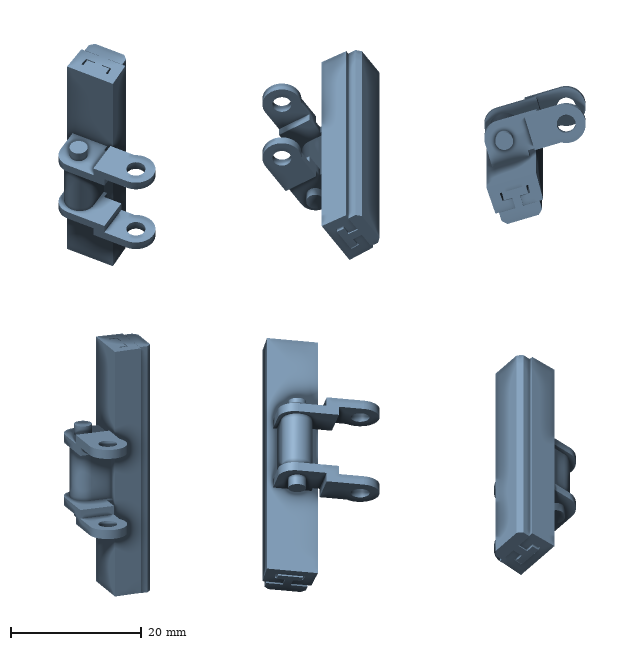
import cadquery as cq

LENGTH = 39.8

RAIL_FRONT_WIDTH = 7.95
RAIL_BACK_WIDTH = 7.65
RAIL_DEPTH = 4.35
RAIL_BOTTOM = 0.25
SLOT_FLOOR = 1.47
SLOT_FLOOR_WIDTH = 4.58
SLOT_LIP = 2.83
SLOT_LIP_WIDTH = 4.38

NECK_WIDTH = 1.25
FOOT_WIDTH = 3.85
FOOT_BACK = 2.65
HEAD_WIDTH = 6.5
HEAD_FRONT = 4.38
HEAD_BACK = 6.35
HEAD_CHAMFER = 0.7

BRACKET_MIDDLE = 20.0
PLATE_THICKNESS = 1.4
ARM_THICKNESS = 1.45
PLATE_GAP = 8.75
PLATE_LEFT = -3.02
PLATE_RIGHT = 3.0
BRACKET_FRONT = -6.5
PLATE_CORNER_RADIUS = 2.6
ARM_BACK = -0.95
ARM_START = 4.05
PLATE_END = 5.97
EYE_X = 9.87
EYE_RADIUS = 3.0
EYE_HOLE_DIAMETER = 2.9

PIN_Y = -3.7
PIN_DIAMETER = 2.75
PIN_LENGTH = 14.8
BARREL_DIAMETER = 4.8
BARREL_HEEL_Y = -3.3

EYE_Y = BRACKET_FRONT + EYE_RADIUS
RAIL_LENGTH = LENGTH - RAIL_BOTTOM


def symmetric_profile(right_points, bottom, height):
    """Extrude an outline given by its right half, mirrored about X = 0."""
    left_points = [(-x, y) for x, y in reversed(right_points)]
    outline = cq.Workplane("XY").workplane(offset=bottom).polyline(right_points + left_points)
    return outline.close().extrude(height)


def block(x_min, x_max, y_min, y_max, bottom, height):
    """Make a box from its X and Y limits, its bottom and its height."""
    size = (x_max - x_min, y_max - y_min, height)
    return cq.Workplane("XY").box(*size, centered=False).translate((x_min, y_min, bottom))


def cylinder(x, y, diameter, bottom, height):
    """Make a vertical cylinder."""
    return cq.Workplane("XY").workplane(offset=bottom).center(x, y).circle(diameter / 2).extrude(height)


def make_rail_profile():
    """Make the drafted rail with its T-slot."""
    points = [
        (RAIL_FRONT_WIDTH / 2, 0),
        (RAIL_BACK_WIDTH / 2, RAIL_DEPTH),
        (NECK_WIDTH / 2, RAIL_DEPTH),
        (NECK_WIDTH / 2, SLOT_LIP),
        (SLOT_LIP_WIDTH / 2, SLOT_LIP),
        (SLOT_FLOOR_WIDTH / 2, SLOT_FLOOR),
    ]
    return symmetric_profile(points, RAIL_BOTTOM, RAIL_LENGTH)


def make_upper_bracket():
    """Make the upper bracket: a plate on the rail, stepped up to an arm that ends in an eye."""
    plate_bottom = BRACKET_MIDDLE + PLATE_GAP / 2
    arm_bottom = plate_bottom + PLATE_THICKNESS

    plate = block(PLATE_LEFT, PLATE_RIGHT, BRACKET_FRONT, 0, plate_bottom, PLATE_THICKNESS)
    plate_end = block(0, PLATE_END, BRACKET_FRONT, ARM_BACK, plate_bottom, PLATE_THICKNESS)
    plate = plate.union(plate_end).edges("|Z and <X and <Y").fillet(PLATE_CORNER_RADIUS)

    arm = block(ARM_START, EYE_X, BRACKET_FRONT, ARM_BACK, arm_bottom, ARM_THICKNESS)
    eye = cylinder(EYE_X, EYE_Y, 2 * EYE_RADIUS, arm_bottom, ARM_THICKNESS)
    eye_hole = cylinder(EYE_X, EYE_Y, EYE_HOLE_DIAMETER, arm_bottom, ARM_THICKNESS)
    return plate.union(arm).union(eye).cut(eye_hole)


def make_hinge():
    """Make the barrel, the web that joins it to the rail, and the pin."""
    barrel_bottom = BRACKET_MIDDLE - PLATE_GAP / 2
    radius = BARREL_DIAMETER / 2
    barrel = cylinder(0, BARREL_HEEL_Y, BARREL_DIAMETER, barrel_bottom, PLATE_GAP)
    web = block(-radius, radius, BARREL_HEEL_Y, 0, barrel_bottom, PLATE_GAP)
    pin = cylinder(0, PIN_Y, PIN_DIAMETER, BRACKET_MIDDLE - PIN_LENGTH / 2, PIN_LENGTH)
    return barrel.union(web).union(pin)


def make_hinge_rail():
    """Make the rail with its hinge and both brackets as one body."""
    upper_bracket = make_upper_bracket()
    lower_bracket = upper_bracket.mirror("XY", (0, 0, BRACKET_MIDDLE))
    return make_rail_profile().union(make_hinge()).union(upper_bracket).union(lower_bracket)


def make_slider():
    """Make the full-length slider that runs in the T-slot."""
    points = [
        (FOOT_WIDTH / 2, SLOT_FLOOR),
        (FOOT_WIDTH / 2, FOOT_BACK),
        (NECK_WIDTH / 2, FOOT_BACK),
        (NECK_WIDTH / 2, HEAD_FRONT),
        (HEAD_WIDTH / 2, HEAD_FRONT),
        (HEAD_WIDTH / 2, HEAD_BACK - HEAD_CHAMFER),
        (HEAD_WIDTH / 2 - HEAD_CHAMFER, HEAD_BACK),
    ]
    return symmetric_profile(points, 0, LENGTH)


hinge_rail = make_hinge_rail()
slider = make_slider()

result = cq.Compound.makeCompound([hinge_rail.val(), slider.val()])